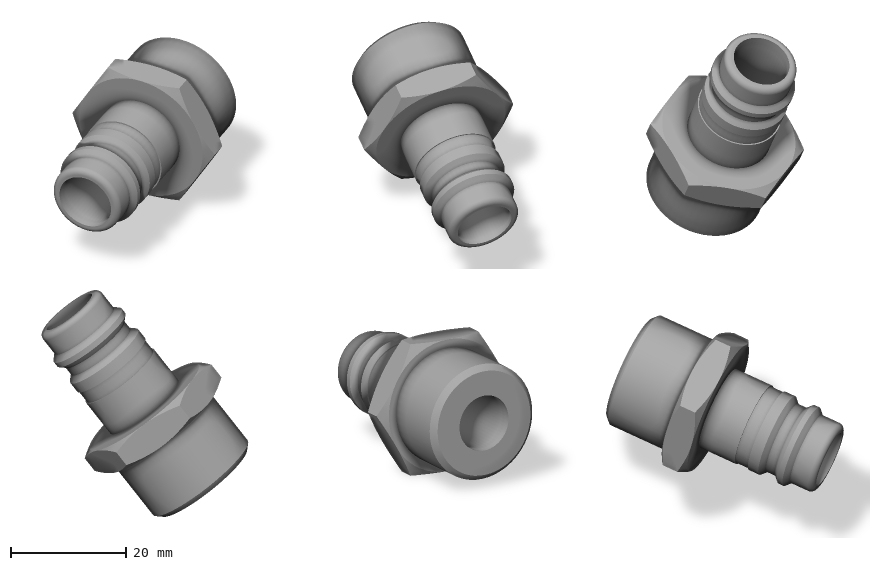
import cadquery as cq
import math

total_length = 38.5
nose_rounding = 1.0
cone_length = 1.0
nose_land_end = 4.3
collar_start = nose_land_end + cone_length
collar_end = 6.3
neck_start = collar_end + cone_length
shoulder_start = 10.0
neck_end = shoulder_start - cone_length
groove_start = 12.0
groove_end = 14.5
hex_start = 21.5
hex_end = 26.5

bore_radius = 5.0
nose_radius = 6.5
plug_radius = 7.5
groove_radius = 7.28
body_radius = 10.47
body_chamfer = 1.0

across_flats = 24.0
flat_radius = across_flats / 2
corner_radius = flat_radius / math.cos(math.radians(30))
corner_bevel_angle = 30.0
corner_bevel = (corner_radius - flat_radius) * math.tan(math.radians(corner_bevel_angle))


def revolve_about_y(profile):
    return profile.close().revolve(360, (0, 0, 0), (0, 1, 0))


def make_plug():
    """Stepped plug with a rounded nose, a locking collar and a shallow groove."""
    arc_offset = nose_rounding * (1 - math.sqrt(0.5))
    profile = (
        cq.Workplane("XY")
        .lineTo(nose_radius - nose_rounding, 0)
        .threePointArc((nose_radius - arc_offset, arc_offset), (nose_radius, nose_rounding))
        .lineTo(nose_radius, nose_land_end)
        .lineTo(plug_radius, collar_start)
        .lineTo(plug_radius, collar_end)
        .lineTo(nose_radius, neck_start)
        .lineTo(nose_radius, neck_end)
        .lineTo(plug_radius, shoulder_start)
        .lineTo(plug_radius, groove_start)
        .lineTo(groove_radius, groove_start)
        .lineTo(groove_radius, groove_end)
        .lineTo(plug_radius, groove_end)
        .lineTo(plug_radius, hex_end)
        .lineTo(0, hex_end)
    )
    return revolve_about_y(profile)


def make_hexagon():
    """Hexagonal wrench section with its corners bevelled on both faces."""
    prism = (
        cq.Workplane("XZ", origin=(0, hex_start, 0))
        .polygon(6, 2 * corner_radius)
        .extrude(hex_start - hex_end)
    )
    bevel_envelope = revolve_about_y(
        cq.Workplane("XY")
        .moveTo(0, hex_start)
        .lineTo(flat_radius, hex_start)
        .lineTo(corner_radius, hex_start + corner_bevel)
        .lineTo(corner_radius, hex_end - corner_bevel)
        .lineTo(flat_radius, hex_end)
        .lineTo(0, hex_end)
    )
    return prism.intersect(bevel_envelope)


def make_body():
    """Cylindrical rear body, chamfered at its free end."""
    profile = (
        cq.Workplane("XY")
        .moveTo(0, hex_start)
        .lineTo(body_radius, hex_start)
        .lineTo(body_radius, total_length - body_chamfer)
        .lineTo(body_radius - body_chamfer, total_length)
        .lineTo(0, total_length)
    )
    return revolve_about_y(profile)


bore = cq.Workplane("XZ").circle(bore_radius).extrude(-total_length)

result = make_plug().union(make_hexagon()).union(make_body()).cut(bore)